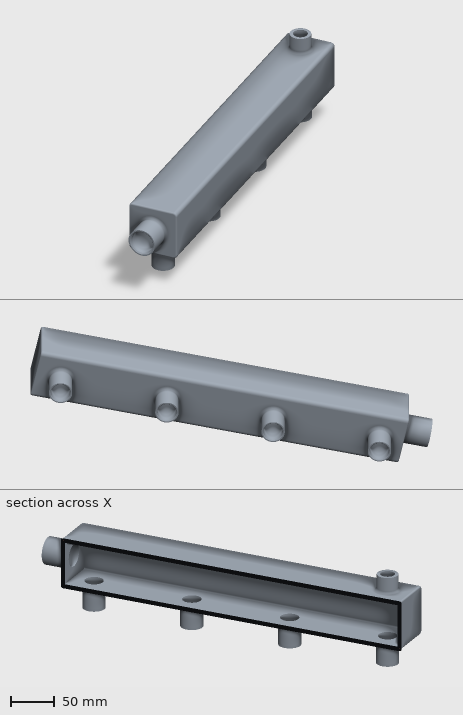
import cadquery as cq
import math

body_width = 60.5
body_height = 60.0
body_length = 433.0
wall = 3.0
long_edge_radius = 4.5
end_edge_radius = 2.0

end_pipe_length = 30.0
end_pipe_diameter = 33.5
end_pipe_bore = 27.5
end_pipe_mouth = 30.0

top_pipe_length = 20.0
top_pipe_diameter = 25.0
top_pipe_bore = 17.0

bottom_pipe_length = 30.0
bottom_pipe_diameter = 27.0
bottom_pipe_bore = 22.0
bottom_pipe_mouth = 24.0
bottom_pipe_count = 4
bottom_pipe_pitch = 125.0

last_pipe_inset = 29.0

bead = 3.0

front_y = -body_length / 2
last_pipe_y = body_length / 2 - last_pipe_inset

end_root = cq.Plane(origin=(0, front_y, 0), xDir=(1, 0, 0), normal=(0, -1, 0))
top_root = cq.Plane(origin=(0, last_pipe_y, body_height / 2), xDir=(1, 0, 0), normal=(0, 0, 1))


def bottom_root(index):
    """Plane at the root of one bottom nozzle, counted from the +Y end."""
    y = last_pipe_y - index * bottom_pipe_pitch
    return cq.Plane(origin=(0, y, -body_height / 2), xDir=(1, 0, 0), normal=(0, 0, -1))


def make_body():
    """Rounded square bar before it is hollowed."""
    bar = cq.Workplane("XY").box(body_width, body_length, body_height)
    bar = bar.edges("|Y").fillet(long_edge_radius)
    return bar.faces("<Y or >Y").edges().fillet(end_edge_radius)


def make_cavity():
    """Inside of the header, one wall thickness in from every face."""
    cavity = cq.Workplane("XY").box(
        body_width - 2 * wall, body_length - 2 * wall, body_height - 2 * wall
    )
    return cavity.edges("|Y").fillet(long_edge_radius - wall)


def make_pipe(root, diameter, length):
    """Solid pipe with a concave bead, starting inside the wall below its root plane."""
    radius = diameter / 2
    section = cq.Plane(origin=root.origin, xDir=root.xDir, normal=root.xDir.cross(root.zDir))
    arc_inset = bead * math.sqrt(0.5)
    bead_middle = (radius + bead - arc_inset, bead - arc_inset)
    return (
        cq.Workplane(section)
        .moveTo(0, -wall)
        .lineTo(radius + bead, -wall)
        .lineTo(radius + bead, 0)
        .threePointArc(bead_middle, (radius, bead))
        .lineTo(radius, length)
        .lineTo(0, length)
        .close()
        .revolve(360, (0, 0, 0), (0, 1, 0))
    )


def make_bore(root, diameter, length):
    """Cylinder that opens a pipe into the cavity."""
    return cq.Workplane(root).workplane(offset=-2 * wall).circle(diameter / 2).extrude(2 * wall + length)


def make_mouth_bevel(root, bore, mouth, length):
    """45 degree cone that widens the bore to the mouth diameter at the pipe tip."""
    depth = (mouth - bore) / 2
    return (
        cq.Workplane(root)
        .workplane(offset=length)
        .circle(mouth / 2)
        .workplane(offset=-depth)
        .circle(bore / 2)
        .loft()
    )


bottom_roots = [bottom_root(index) for index in range(bottom_pipe_count)]

body = make_body()
body = body.union(make_pipe(end_root, end_pipe_diameter, end_pipe_length))
body = body.union(make_pipe(top_root, top_pipe_diameter, top_pipe_length))
for root in bottom_roots:
    body = body.union(make_pipe(root, bottom_pipe_diameter, bottom_pipe_length))

body = body.cut(make_cavity())
body = body.cut(make_bore(end_root, end_pipe_bore, end_pipe_length))
body = body.cut(make_mouth_bevel(end_root, end_pipe_bore, end_pipe_mouth, end_pipe_length))
body = body.cut(make_bore(top_root, top_pipe_bore, top_pipe_length))
for root in bottom_roots:
    body = body.cut(make_bore(root, bottom_pipe_bore, bottom_pipe_length))
    body = body.cut(make_mouth_bevel(root, bottom_pipe_bore, bottom_pipe_mouth, bottom_pipe_length))

result = body